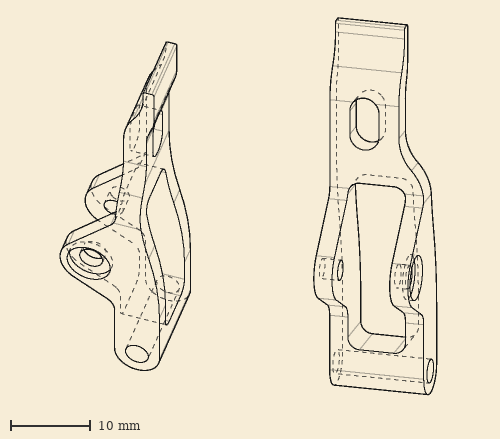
import cadquery as cq
import math

depth = 13.2
width = 12.3
height = 48.8

foot_radius = 3.0
foot_hole_diameter = 3.05
foot_back_x = depth - 2 * foot_radius

pivot_radius = 3.8
pivot_z = 17.8
ear_thickness = 2.4
upper_edge_angle = 45.0
lower_edge_angle = 30.0
blend_radius = 2.0
pivot_near_diameter = 3.05
pivot_far_diameter = 2.55
counterbore_diameter = 5.7
counterbore_depth = 1.0

arm_back_x = 7.3
arm_front_x = 10.35
tip_back_x = 9.9
tip_front_x = 11.35
tip_edge_radius = 0.3
front_sweep_start_z = 10.75
front_sweep_end_z = 32.2
tip_front_bend_start_z = 39.2
tip_front_bend_end_z = 43.95
tip_back_bend_start_z = 39.2
tip_back_bend_end_z = 47.35

arm_width = 9.05
arm_side_y = width - arm_width
shoulder_start_z = 26.6
shoulder_end_z = 34.9

slot_width = 3.8
slot_length = 6.95
slot_z = 36.35

window_bottom_z = 6.05
window_top_z = 28.35
window_corner_radius = 1.5


def s_curve(outline, start, end):
    """Add two equal arcs, both vertical at their outer ends, from start to end."""
    half_shift = (end[0] - start[0]) / 2
    half_rise = (end[1] - start[1]) / 2
    middle = (start[0] + half_shift, start[1] + half_rise)
    return (
        outline.tangentArcPoint(middle, relative=False)
        .tangentArcPoint(end, relative=False)
    )


def polar(center, radius, angle):
    """Point on a circle, with the angle in degrees."""
    turn = math.radians(angle)
    return (center[0] + radius * math.cos(turn), center[1] + radius * math.sin(turn))


def y_cylinder(x, z, diameter, start_y, length):
    """Cylinder along +Y from start_y."""
    return cq.Workplane("XZ", origin=(x, start_y, z)).circle(diameter / 2).extrude(-length)


def side_profile():
    """Solid with the full side outline, spanning the whole width."""
    pivot = (pivot_radius, pivot_z)
    upper_tangent = polar(pivot, pivot_radius, 90 + upper_edge_angle)
    lower_tangent = polar(pivot, pivot_radius, 270 - lower_edge_angle)
    upper_rise = (arm_back_x - upper_tangent[0]) * math.tan(math.radians(upper_edge_angle))
    lower_drop = (foot_back_x - lower_tangent[0]) * math.tan(math.radians(lower_edge_angle))
    upper_corner = (arm_back_x, upper_tangent[1] + upper_rise)
    lower_corner = (foot_back_x, lower_tangent[1] - lower_drop)

    outline = (
        cq.Workplane("XZ")
        .moveTo(depth, foot_radius)
        .lineTo(depth, front_sweep_start_z)
    )
    outline = s_curve(
        outline, (depth, front_sweep_start_z), (arm_front_x, front_sweep_end_z)
    )
    outline = outline.lineTo(arm_front_x, tip_front_bend_start_z)
    outline = s_curve(
        outline, (arm_front_x, tip_front_bend_start_z), (tip_front_x, tip_front_bend_end_z)
    )

    outline = (
        outline.lineTo(tip_front_x, height)
        .lineTo(tip_back_x, height)
        .lineTo(tip_back_x, tip_back_bend_end_z)
    )
    outline = s_curve(
        outline, (tip_back_x, tip_back_bend_end_z), (arm_back_x, tip_back_bend_start_z)
    )
    outline = (
        outline.lineTo(*upper_corner)
        .lineTo(*upper_tangent)
        .threePointArc((0, pivot_z), lower_tangent)
        .lineTo(*lower_corner)
        .lineTo(foot_back_x, foot_radius)
        .threePointArc((depth - foot_radius, 0), (depth, foot_radius))
        .close()
    )
    body = outline.extrude(-width)

    for corner_x, corner_z in (upper_corner, lower_corner):
        corner = cq.selectors.NearestToPointSelector((corner_x, width / 2, corner_z))
        body = body.edges("|Y").edges(corner).fillet(blend_radius)
    return body.faces(">Z").edges("|Y").fillet(tip_edge_radius)


def shoulder_cut():
    """Material removed to narrow the arm above the ears."""
    outline = cq.Workplane("YZ").moveTo(0, 0).lineTo(0, shoulder_start_z)
    outline = s_curve(outline, (0, shoulder_start_z), (arm_side_y, shoulder_end_z))
    return (
        outline.lineTo(arm_side_y, height)
        .lineTo(-width, height)
        .lineTo(-width, 0)
        .close()
        .extrude(depth)
    )


def arm_slot():
    """Round-ended slot centred on the arm."""
    return (
        cq.Workplane("YZ", origin=(0, arm_side_y + arm_width / 2, slot_z))
        .slot2D(slot_length, slot_width, 90)
        .extrude(depth)
    )


def ear_window():
    """Rounded opening that separates the two ears."""
    return (
        cq.Workplane("XY", origin=(depth / 2, width / 2, window_bottom_z))
        .box(
            depth, width - 2 * ear_thickness, window_top_z - window_bottom_z,
            centered=(True, True, False),
        )
        .edges("|X")
        .fillet(window_corner_radius)
    )


result = side_profile().cut(shoulder_cut()).cut(arm_slot()).cut(ear_window())

result = (
    result.cut(y_cylinder(pivot_radius, pivot_z, pivot_near_diameter, 0, width / 2))
    .cut(y_cylinder(pivot_radius, pivot_z, pivot_far_diameter, width / 2, width / 2))
    .cut(y_cylinder(pivot_radius, pivot_z, counterbore_diameter, 0, counterbore_depth))
)

result = result.cut(
    y_cylinder(depth - foot_radius, foot_radius, foot_hole_diameter, 0, width)
)